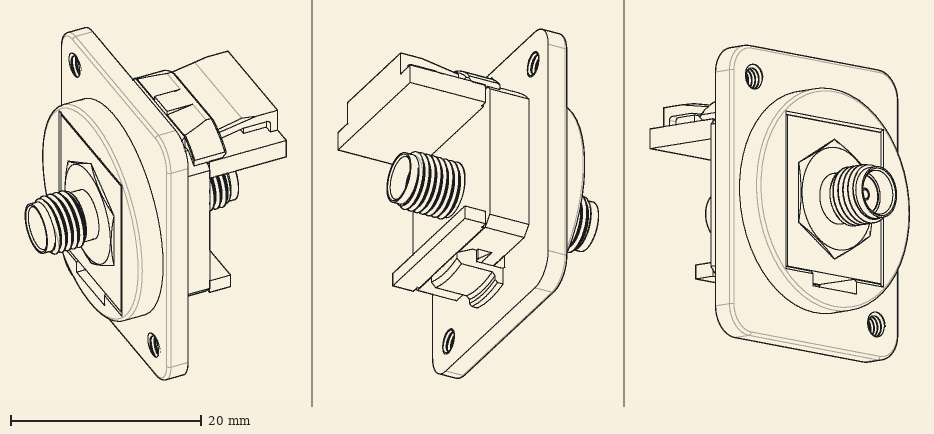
import cadquery as cq
import math


OVERLAP = 0.04

FLANGE_WIDTH = 26.0
FLANGE_HEIGHT = 31.0
FLANGE_THICKNESS = 2.35
FLANGE_CORNER_RADIUS = 3.0
EDGE_ROUND = 0.33
BOSS_DIAMETER = 23.63
BOSS_FRONT = -5.12
FLANGE_FRONT = -FLANGE_THICKNESS

SCREW_X = 9.5
SCREW_Z = 12.0
SCREW_MINOR_DIAMETER = 2.26
SCREW_MAJOR_DIAMETER = 3.0
SCREW_PITCH = 0.5
SCREW_GROOVE_MOUTH = 0.42
SCREW_GROOVE_ROOT = 0.06
SCREW_THREAD_START_ANGLE = 120.0

HOUSING_WIDTH = 17.3
HOUSING_TOP = 9.8
HOUSING_BOTTOM = -8.2
HOUSING_REAR = 4.65
HOUSING_BOTTOM_CHAMFER = 1.05

INSERT_HALF_WIDTH = 7.25
INSERT_HALF_HEIGHT = 8.1
INSERT_RECESS = 0.07
GROOVE_WIDTH = 0.32
GROOVE_DEPTH = 0.32
SLOT_FRONT_HALF_WIDTH = 3.36
SLOT_REAR_HALF_WIDTH = 3.15
SLOT_FRONT_FLOOR = -9.7
SLOT_REAR_FLOOR = -9.57

WEDGE_REAR = 3.0
TOP_WEDGE_HALF_WIDTH = 6.0
TOP_WEDGE_FRONT = 1.06
TOP_WEDGE_FRONT_Z = 9.0
TOP_WEDGE_TIP_Z = 11.18
BOTTOM_WEDGE_FRONT = 1.5
BOTTOM_WEDGE_TIP_Z = -9.27

HOOK_HALF_WIDTH = 2.88
HOOK_INNER_RADIUS = 10.72
HOOK_SHOULDER = 0.95
HOOK_REAR = 5.5
HOOK_CATCH = 3.15

BAR_HALF_WIDTH = 8.12
BAR_BOTTOM = 6.62
BAR_TOP = 8.74
BAR_FRONT = 4.87
LATCH_REAR = 13.86
ARM_HALF_WIDTH = 6.0
ARM_TOP = 11.28
ARM_THICKNESS = 1.08
ARM_LEG = 0.85
ARM_INNER_ROUND = 0.4
ARM_BEND = 9.82
ARM_SLOPE_DROP = 0.55
WEB_HALF_WIDTH = 5.0
WEB_FRONT = 10.35
BEVEL_REAR = 11.37
BEVEL_INSET = 0.35
BEVEL_FRONT_DROP = 0.76

GRIP_HALF_WIDTH = 8.0
GRIP_FLAT_HALF_WIDTH = 4.7
GRIP_TOP = 11.6
GRIP_SHOULDER = 9.38
GRIP_BOTTOM = 8.5
GRIP_FRONT = 3.1
GRIP_REAR = 6.96
GRIP_REAR_EDGE_CHAMFER = 0.25
GRIP_FRONT_EDGE_CHAMFER = 0.1
GRIP_REAR_CHAMFER = 0.55
POCKET_INNER_X = 1.52
POCKET_REAR = 6.1
POCKET_DROP = 0.45

TAB_REAR = 7.33
TAB_TOP = -6.6

JACK_FRONT = -11.47
JACK_REAR = 10.9
BARREL_DIAMETER = 5.4
THREAD_DIAMETER = 6.25
THREAD_START_ANGLE = 165.0
THREAD_PITCH = 0.7056
THREAD_CREST = 0.08
THREAD_BASE = 0.66
COLLAR_LENGTH = 0.88
FRONT_THREAD_END = -6.9
BORE_DIAMETER = 4.65
BORE_MOUTH_CHAMFER = 0.2
BORE_DEPTH = 2.0
DIELECTRIC_DIAMETER = 4.1
DIELECTRIC_STEP = 0.1
CONTACT_DIAMETER = 1.27
CONTACT_BORE = 0.95
NUT_ACROSS_FLATS = 11.1
NUT_FRONT = -5.44
NUT_FACE_DIAMETER = 10.9
NUT_CORNER_DROP = 0.38


def box(x_range, y_range, z_range):
    """Axis-aligned block given by its limits along each axis."""
    limits = (x_range, y_range, z_range)
    size = [high - low for low, high in limits]
    middle = [(high + low) / 2 for low, high in limits]
    return cq.Workplane("XY").box(*size).translate(tuple(middle))


def side_prism(points, half_width):
    """Prism along X, symmetric about X = 0, from a (Y, Z) outline."""
    return cq.Workplane("YZ").polyline(points).close().extrude(half_width, both=True)


def cylinder(diameter, y_start, y_end):
    """Cylinder on the Y axis."""
    plane = cq.Workplane("XZ", origin=(0, y_start, 0))
    return plane.circle(diameter / 2).extrude(y_start - y_end)


def turned(points):
    """Solid of revolution about the Y axis from an (r, Y) outline."""
    return cq.Workplane("XY").polyline(points).close().revolve(360, (0, 0, 0), (0, 1, 0))


def helix_along_y(root_radius, root_half, crest_radius, crest_half, pitch, y_start, y_end):
    """Right-hand helical strip of trapezoidal section about the Y axis."""
    path = cq.Wire.makeHelix(pitch, y_end - y_start, root_radius)
    section = (
        cq.Workplane("XZ")
        .moveTo(root_radius, -root_half)
        .lineTo(crest_radius, -crest_half)
        .lineTo(crest_radius, crest_half)
        .lineTo(root_radius, root_half)
        .close()
    )
    strip = section.sweep(cq.Workplane(path), isFrenet=True)
    return strip.rotate((0, 0, 0), (1, 0, 0), -90).translate((0, y_start, 0))


def screw_hole(x, z):
    """Tool that cuts one tapped hole through the flange."""
    drill = cylinder(SCREW_MINOR_DIAMETER, FLANGE_FRONT - SCREW_PITCH, SCREW_PITCH)
    groove = helix_along_y(
        SCREW_MINOR_DIAMETER / 2 - OVERLAP,
        SCREW_GROOVE_MOUTH / 2,
        SCREW_MAJOR_DIAMETER / 2,
        SCREW_GROOVE_ROOT / 2,
        SCREW_PITCH,
        FLANGE_FRONT - SCREW_PITCH,
        SCREW_PITCH,
    )
    groove = groove.rotate((0, 0, 0), (0, -1, 0), SCREW_THREAD_START_ANGLE)
    return drill.union(groove).translate((x, 0, z))


def flange():
    plate = (
        cq.Workplane("XZ")
        .rect(FLANGE_WIDTH, FLANGE_HEIGHT)
        .extrude(FLANGE_THICKNESS)
        .edges("|Y")
        .fillet(FLANGE_CORNER_RADIUS)
        .faces("<Y")
        .edges()
        .fillet(EDGE_ROUND)
    )
    boss = cylinder(BOSS_DIAMETER, 0, BOSS_FRONT).faces("<Y").edges().fillet(EDGE_ROUND)
    for side in (-1, 1):
        plate = plate.cut(screw_hole(side * SCREW_X, -side * SCREW_Z))
    return plate.union(boss)


def housing():
    """Block trimmed by the boss cylinder, with beveled lower edges."""
    half_width = HOUSING_WIDTH / 2
    block = box((-half_width, half_width), (0, HOUSING_REAR), (HOUSING_BOTTOM, HOUSING_TOP))
    block = block.edges("|Y and <Z").chamfer(HOUSING_BOTTOM_CHAMFER)
    return block.intersect(cylinder(BOSS_DIAMETER, 0, HOUSING_REAR))


def insert_recess():
    """Beveled opening in the boss, with the insert face standing just below its rim."""
    insert_face = BOSS_FRONT + INSERT_RECESS
    groove_floor = BOSS_FRONT + GROOVE_DEPTH
    opening = (
        cq.Workplane("XZ", origin=(0, groove_floor, 0))
        .rect(2 * INSERT_HALF_WIDTH, 2 * INSERT_HALF_HEIGHT)
        .workplane(offset=GROOVE_DEPTH)
        .rect(2 * (INSERT_HALF_WIDTH + GROOVE_WIDTH), 2 * (INSERT_HALF_HEIGHT + GROOVE_WIDTH))
        .loft(combine=True)
    )
    insert = box(
        (-INSERT_HALF_WIDTH, INSERT_HALF_WIDTH),
        (insert_face, groove_floor),
        (-INSERT_HALF_HEIGHT, INSERT_HALF_HEIGHT),
    )
    return opening.cut(insert)


def release_slot():
    """Tapered slot through boss and flange below the insert."""
    ceiling = -INSERT_HALF_HEIGHT
    front_height = ceiling - SLOT_FRONT_FLOOR
    rear_height = ceiling - SLOT_REAR_FLOOR
    return (
        cq.Workplane("XZ")
        .center(0, ceiling - rear_height / 2)
        .rect(2 * SLOT_REAR_HALF_WIDTH, rear_height)
        .workplane(offset=-BOSS_FRONT)
        .center(0, (rear_height - front_height) / 2)
        .rect(2 * SLOT_FRONT_HALF_WIDTH, front_height)
        .loft(combine=True)
    )


def top_wedge():
    return side_prism(
        [
            (TOP_WEDGE_FRONT, TOP_WEDGE_FRONT_Z),
            (WEDGE_REAR, TOP_WEDGE_TIP_Z),
            (WEDGE_REAR, TOP_WEDGE_FRONT_Z),
        ],
        TOP_WEDGE_HALF_WIDTH,
    )


def top_window():
    """Opening in the housing roof over the ramp of the top wedge."""
    return box(
        (-TOP_WEDGE_HALF_WIDTH, TOP_WEDGE_HALF_WIDTH),
        (TOP_WEDGE_FRONT, WEDGE_REAR),
        (TOP_WEDGE_FRONT_Z, HOUSING_TOP),
    )


def bottom_wedge():
    return side_prism(
        [
            (BOTTOM_WEDGE_FRONT, HOUSING_BOTTOM),
            (WEDGE_REAR, BOTTOM_WEDGE_TIP_Z),
            (HOOK_CATCH, BOTTOM_WEDGE_TIP_Z),
            (HOOK_CATCH, HOUSING_BOTTOM),
        ],
        SLOT_REAR_HALF_WIDTH,
    )


def lower_hook():
    """Spring hook: flat inner faces, outside turned about the jack axis."""
    outer_radius = BOSS_DIAMETER / 2
    base_chamfer = 0.28
    shoulder_bevel = 0.35
    nose_radius = 10.2
    nose_inner_z = -9.1
    tip_rear = 3.64
    envelope = turned(
        [
            (0, 0),
            (outer_radius, 0),
            (outer_radius, HOOK_SHOULDER - base_chamfer),
            (outer_radius - base_chamfer, HOOK_SHOULDER),
            (HOOK_INNER_RADIUS + shoulder_bevel, HOOK_SHOULDER),
            (HOOK_INNER_RADIUS, HOOK_SHOULDER + shoulder_bevel),
            (HOOK_INNER_RADIUS, HOOK_REAR - (HOOK_INNER_RADIUS - nose_radius)),
            (nose_radius, HOOK_REAR),
            (0, HOOK_REAR),
        ]
    )
    inner = side_prism(
        [
            (0, SLOT_REAR_FLOOR),
            (HOOK_CATCH, SLOT_REAR_FLOOR),
            (HOOK_CATCH, HOUSING_BOTTOM),
            (tip_rear, HOUSING_BOTTOM),
            (HOOK_REAR, nose_inner_z),
            (HOOK_REAR, -outer_radius),
            (0, -outer_radius),
        ],
        HOOK_HALF_WIDTH,
    )
    return inner.intersect(envelope)


def arm_bevel(side):
    """Cutting block whose inner face is the tapering bevel on one edge of the arm."""
    rear = cq.Vector(side * ARM_HALF_WIDTH, BEVEL_REAR, ARM_TOP)
    front = cq.Vector(side * ARM_HALF_WIDTH, GRIP_REAR, ARM_TOP - BEVEL_FRONT_DROP)
    inner = cq.Vector(side * (ARM_HALF_WIDTH - BEVEL_INSET), ARM_BEND, ARM_TOP)
    along = front - rear
    normal = along.cross(inner - rear)
    if normal.x * side < 0:
        normal = normal * -1
    block_size = 4 * LATCH_REAR
    return cq.Workplane(cq.Plane(rear, along, normal)).rect(block_size, block_size).extrude(ARM_THICKNESS)


def latch_arm():
    """Cantilever over the bar: rear leg, flat roof and a sloping front part."""
    underside = ARM_TOP - ARM_THICKNESS
    leg_front = LATCH_REAR - ARM_LEG
    bridge = (
        cq.Workplane("YZ")
        .moveTo(LATCH_REAR, BAR_TOP)
        .lineTo(LATCH_REAR, ARM_TOP)
        .lineTo(ARM_BEND, ARM_TOP)
        .lineTo(GRIP_REAR, ARM_TOP - ARM_SLOPE_DROP)
        .lineTo(GRIP_REAR, underside - ARM_SLOPE_DROP)
        .lineTo(ARM_BEND, underside)
        .lineTo(leg_front - ARM_INNER_ROUND, underside)
        .radiusArc((leg_front, underside - ARM_INNER_ROUND), ARM_INNER_ROUND)
        .lineTo(leg_front, BAR_TOP)
        .close()
        .extrude(ARM_HALF_WIDTH, both=True)
    )
    for side in (-1, 1):
        bridge = bridge.cut(arm_bevel(side))
    web = box((-WEB_HALF_WIDTH, WEB_HALF_WIDTH), (WEB_FRONT, leg_front), (BAR_TOP, underside))
    return bridge.union(web)


def latch_grip():
    """Finger grip with bowed shoulders and two sloping pockets on top."""
    bow_x = (GRIP_FLAT_HALF_WIDTH + GRIP_HALF_WIDTH) / 2
    bow_z = math.sqrt(math.hypot(GRIP_FLAT_HALF_WIDTH, GRIP_TOP) ** 2 - bow_x**2)
    grip = (
        cq.Workplane("XZ", origin=(0, GRIP_FRONT, 0))
        .moveTo(-GRIP_HALF_WIDTH, GRIP_BOTTOM)
        .lineTo(-GRIP_HALF_WIDTH, GRIP_SHOULDER)
        .threePointArc((-bow_x, bow_z), (-GRIP_FLAT_HALF_WIDTH, GRIP_TOP))
        .lineTo(GRIP_FLAT_HALF_WIDTH, GRIP_TOP)
        .threePointArc((bow_x, bow_z), (GRIP_HALF_WIDTH, GRIP_SHOULDER))
        .lineTo(GRIP_HALF_WIDTH, GRIP_BOTTOM)
        .close()
        .extrude(GRIP_FRONT - GRIP_REAR)
    )
    grip = grip.faces(">Y").edges(">Z or %CIRCLE").chamfer(GRIP_REAR_EDGE_CHAMFER)
    grip = grip.faces("<Y").edges("%CIRCLE").chamfer(GRIP_FRONT_EDGE_CHAMFER)
    undercut_top = BAR_TOP + GRIP_REAR_CHAMFER
    undercut = side_prism(
        [
            (GRIP_REAR, undercut_top),
            (GRIP_REAR, GRIP_BOTTOM),
            (GRIP_REAR - (undercut_top - GRIP_BOTTOM), GRIP_BOTTOM),
        ],
        GRIP_HALF_WIDTH,
    )
    grip = grip.cut(undercut)
    pockets = side_prism(
        [(POCKET_REAR, GRIP_TOP), (GRIP_FRONT, GRIP_TOP), (GRIP_FRONT, GRIP_TOP - POCKET_DROP)],
        GRIP_HALF_WIDTH,
    )
    rib = box((-POCKET_INNER_X, POCKET_INNER_X), (GRIP_FRONT, POCKET_REAR), (GRIP_BOTTOM, GRIP_TOP))
    return grip.cut(pockets.cut(rib))


def rear_bar(bar_rear, z_range):
    """Bar behind the housing, held to it by a narrower neck."""
    bar = box((-BAR_HALF_WIDTH, BAR_HALF_WIDTH), (BAR_FRONT, bar_rear), z_range)
    neck = box((-INSERT_HALF_WIDTH, INSERT_HALF_WIDTH), (HOUSING_REAR, BAR_FRONT), z_range)
    return bar.union(neck)


def nut():
    """Hexagon with points up and down and a conical front bevel."""
    corner_radius = NUT_ACROSS_FLATS / math.sqrt(3)
    hexagon = (
        cq.Workplane("XZ")
        .polygon(6, 2 * corner_radius)
        .extrude(-NUT_FRONT)
        .rotate((0, 0, 0), (0, 1, 0), 90)
    )
    cone = turned(
        [
            (0, 0),
            (corner_radius, 0),
            (corner_radius, NUT_FRONT + NUT_CORNER_DROP),
            (NUT_FACE_DIAMETER / 2, NUT_FRONT),
            (0, NUT_FRONT),
        ]
    )
    return hexagon.intersect(cone)


def jack_thread(y_start, y_end):
    """External thread ridge, beveled down to the barrel at both ends."""
    barrel_radius = BARREL_DIAMETER / 2
    thread_radius = THREAD_DIAMETER / 2
    bevel = thread_radius - barrel_radius
    ridge = helix_along_y(
        barrel_radius - OVERLAP,
        THREAD_BASE / 2,
        thread_radius,
        THREAD_CREST / 2,
        THREAD_PITCH,
        y_start - THREAD_PITCH,
        y_end + THREAD_PITCH,
    )
    ridge = ridge.rotate((0, 0, 0), (0, 1, 0), THREAD_START_ANGLE)
    envelope = turned(
        [
            (0, y_start),
            (barrel_radius, y_start),
            (thread_radius + OVERLAP, y_start + bevel),
            (thread_radius + OVERLAP, y_end - bevel),
            (barrel_radius, y_end),
            (0, y_end),
        ]
    )
    return ridge.intersect(envelope)


def socket(tip_y, inward):
    """Tool that hollows one end of the jack; inward is the sign of Y into the jack."""
    bore_radius = BORE_DIAMETER / 2
    dielectric_radius = DIELECTRIC_DIAMETER / 2
    floor_y = tip_y + inward * BORE_DEPTH
    return turned(
        [
            (0, tip_y),
            (bore_radius + BORE_MOUTH_CHAMFER, tip_y),
            (bore_radius, tip_y + inward * BORE_MOUTH_CHAMFER),
            (bore_radius, floor_y),
            (dielectric_radius, floor_y),
            (dielectric_radius, floor_y + inward * DIELECTRIC_STEP),
            (CONTACT_DIAMETER / 2, floor_y + inward * DIELECTRIC_STEP),
            (CONTACT_DIAMETER / 2, floor_y),
            (0, floor_y),
        ]
    )


def add_jack(body):
    body = body.union(nut()).union(cylinder(BARREL_DIAMETER, JACK_FRONT, JACK_REAR))
    body = body.union(jack_thread(JACK_FRONT + COLLAR_LENGTH, FRONT_THREAD_END))
    body = body.union(jack_thread(HOUSING_REAR - THREAD_PITCH, JACK_REAR - COLLAR_LENGTH))
    body = body.cut(socket(JACK_FRONT, 1)).cut(socket(JACK_REAR, -1))
    return body.cut(cylinder(CONTACT_BORE, JACK_FRONT, JACK_REAR))


body = flange().union(housing())
body = body.cut(insert_recess()).cut(release_slot()).cut(top_window())
body = body.union(top_wedge()).union(bottom_wedge()).union(lower_hook())
body = body.union(rear_bar(LATCH_REAR, (BAR_BOTTOM, BAR_TOP)))
body = body.union(rear_bar(TAB_REAR, (-INSERT_HALF_HEIGHT, TAB_TOP)))
body = body.union(latch_arm()).union(latch_grip())
result = add_jack(body)